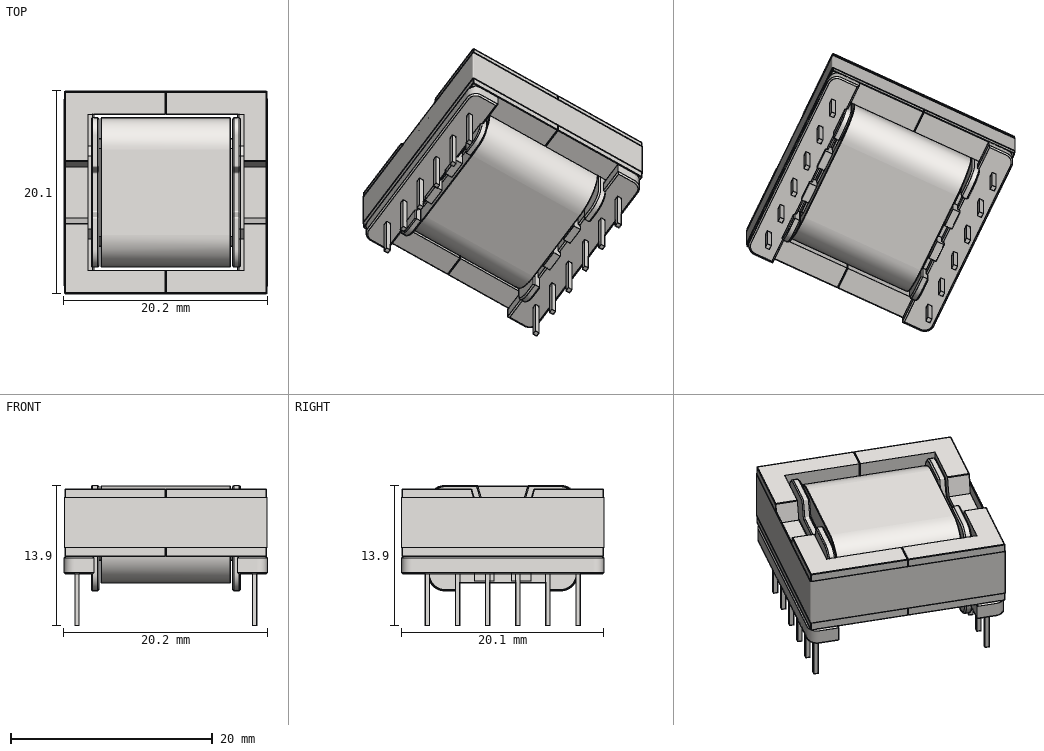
import cadquery as cq

core_side = 20.0
core_height = 6.69
window_side = 15.47
core_chamfer = 0.06
core_notch_floor_width = 5.05
core_notch_top_width = 6.18
core_notch_depth = 1.98

tape_side = 20.1
tape_thickness = 0.12
tape_bottom = 0.89
tape_height = 4.97
tape_corner_radius = 0.12

winding_axis_height = 2.18
winding_length = 12.85
winding_width = 14.83
winding_height = 9.64
winding_corner_radius = 3.2
winding_chamfer = 0.06
post_width = 9.21
post_height = 3.64
post_chamfer = 0.97
tube_wall = 0.75

flange_inner_face = 6.6
flange_thickness = 0.79
flange_width = 14.83
flange_top = 7.05
flange_bottom = -3.41
flange_corner_radius = 1.7
flange_inner_chamfer = 0.16
flange_outer_chamfer = 0.12
flange_notch_top_width = 4.99
flange_notch_floor_width = 3.92
flange_notch_depth = 1.85
flange_notch_radius = 0.18
flange_foot_gap = 9.05
tab_inner = 0.89
tab_outer = 2.79
tab_bottom = -2.42

rail_outer_face = 10.1
rail_width = 2.99
rail_length = tape_side
rail_height = 1.74
rail_corner_radius = 1.0
rail_chamfer = 0.16

pin_side = 0.45
pin_rows_x = 8.8
pin_pitch = 2.99
pins_per_row = 6
pin_tip = -6.85

tube_width = post_width + 2 * tube_wall
tube_height = post_height + 2 * tube_wall
flange_outer_face = flange_inner_face + flange_thickness
post_length = (window_side + core_side) / 2


def trapezoid_notch(top_width, floor_width, top, depth):
    """Points of a notch that narrows downwards, from its top left to its top right."""
    floor = top - depth
    return [
        (-top_width / 2, top),
        (-floor_width / 2, floor),
        (floor_width / 2, floor),
        (top_width / 2, top),
    ]


def bar_along_x(width, height, start, length):
    """Rectangular bar on the winding axis, running from X = start."""
    return (
        cq.Workplane("YZ", origin=(start, 0, winding_axis_height))
        .rect(width, height)
        .extrude(length)
    )


def post_bar(width, height, length):
    """Bar with the chamfered section of the centre post, centred on X = 0."""
    return bar_along_x(width, height, -length / 2, length).edges("|X").chamfer(post_chamfer)


def core_half():
    """Left half of the core frame; its edges are broken except those of the window and the notch floor."""
    notch = trapezoid_notch(core_notch_top_width, core_notch_floor_width, core_height, core_notch_depth)
    outline = [
        (-core_side / 2, 0),
        (-core_side / 2, core_height),
        *notch,
        (core_side / 2, core_height),
        (core_side / 2, 0),
    ]
    block = (
        cq.Workplane("YZ", origin=(-core_side / 2, 0, 0))
        .polyline(outline)
        .close()
        .extrude(core_side / 2)
    )
    floor_height = core_height - core_notch_depth
    floor_corners = cq.selectors.BoxSelector(
        (-core_side, -core_notch_floor_width, floor_height - core_chamfer),
        (core_side, core_notch_floor_width, floor_height + core_chamfer),
    )
    block = block.edges(cq.Selector() - floor_corners).chamfer(core_chamfer)
    window = cq.Workplane("XY").rect(window_side, window_side).extrude(core_height)
    return block.cut(window)


def inner_seam_grooves():
    """V grooves down the window walls, where the halves meet."""
    diamond = [(-core_chamfer, 0), (0, core_chamfer), (core_chamfer, 0), (0, -core_chamfer)]
    groove = cq.Workplane("XY").polyline(diamond).close().extrude(core_height)
    return [groove.translate((0, side * window_side / 2, 0)) for side in (-1, 1)]


def tape():
    """Thin band round the four outer sides of the core."""
    inside_side = tape_side - 2 * tape_thickness
    return (
        cq.Workplane("XY", origin=(0, 0, tape_bottom))
        .rect(tape_side, tape_side)
        .extrude(tape_height)
        .edges("|Z")
        .fillet(tape_corner_radius)
        .faces(">Z")
        .workplane()
        .rect(inside_side, inside_side)
        .cutThruAll()
    )


def make_core():
    """Ferrite core with its centre post and tape, as one solid."""
    half = core_half()
    post = post_bar(post_width, post_height, post_length)
    core = half.union(half.mirror("YZ"))
    for groove in inner_seam_grooves():
        core = core.cut(groove)
    return core.union(post).union(tape())


def flange():
    """Left end flange: rounded plate notched at the top, with two feet and two tabs below."""
    height = flange_top - flange_bottom
    plate = (
        cq.Workplane("YZ", origin=(-flange_outer_face, 0, flange_bottom + height / 2))
        .rect(flange_width, height)
        .extrude(flange_thickness)
        .edges("|X")
        .fillet(flange_corner_radius)
    )
    notch = trapezoid_notch(flange_notch_top_width, flange_notch_floor_width, flange_top, flange_notch_depth)
    top_notch = (
        cq.Workplane("YZ", origin=(-flange_outer_face, 0, 0))
        .polyline(notch)
        .close()
        .extrude(flange_thickness)
    )
    plate = plate.cut(top_notch)
    notch_corners = cq.selectors.BoxSelector(
        (-flange_outer_face, -flange_notch_top_width, flange_top - flange_notch_depth - flange_notch_radius),
        (-flange_inner_face, flange_notch_top_width, flange_top + flange_notch_radius),
    )
    plate = plate.edges("|X").edges(notch_corners).fillet(flange_notch_radius)
    foot_gap = (
        cq.Workplane("YZ", origin=(-flange_outer_face, 0, flange_bottom / 2))
        .rect(flange_foot_gap, -flange_bottom)
        .extrude(flange_thickness)
    )
    plate = plate.cut(foot_gap)
    plate = plate.faces(">X").chamfer(flange_inner_chamfer)
    plate = plate.faces("<X").chamfer(flange_outer_chamfer)
    tabs = (
        cq.Workplane("YZ", origin=(-flange_outer_face, 0, tab_bottom / 2))
        .pushPoints([(side * (tab_inner + tab_outer) / 2, 0) for side in (-1, 1)])
        .rect(tab_outer - tab_inner, -tab_bottom)
        .extrude(flange_thickness)
    )
    return plate.union(tabs)


def rail():
    """Left pin rail, rounded at its two outer corners."""
    return (
        cq.Workplane("XY", origin=(rail_width / 2 - rail_outer_face, 0, -rail_height))
        .rect(rail_width, rail_length)
        .extrude(rail_height)
        .edges("|Z and <X")
        .fillet(rail_corner_radius)
        .faces("<Z or >Z")
        .chamfer(rail_chamfer)
    )


def pins():
    """Row of square pins under the left rail."""
    return (
        cq.Workplane("XY", origin=(-pin_rows_x, 0, pin_tip))
        .rarray(0.2, pin_pitch, 1, pins_per_row)
        .rect(pin_side, pin_side)
        .extrude(-rail_height - pin_tip)
    )


def winding():
    """Solid winding with rounded long edges and slightly broken ends."""
    return (
        bar_along_x(winding_width, winding_height, -winding_length / 2, winding_length)
        .edges("|X")
        .fillet(winding_corner_radius)
        .faces("<X or >X")
        .chamfer(winding_chamfer)
    )


def make_bobbin():
    """Bobbin with its winding, rails and pins, as one solid."""
    end = flange().union(rail()).union(pins())
    tube = post_bar(tube_width, tube_height, 2 * flange_inner_face)
    post_hole = post_bar(post_width, post_height, 2 * flange_outer_face)
    return tube.union(winding()).union(end).union(end.mirror("YZ")).cut(post_hole)


core = make_core()
bobbin = make_bobbin()

result = cq.Compound.makeCompound([core.val(), bobbin.val()])